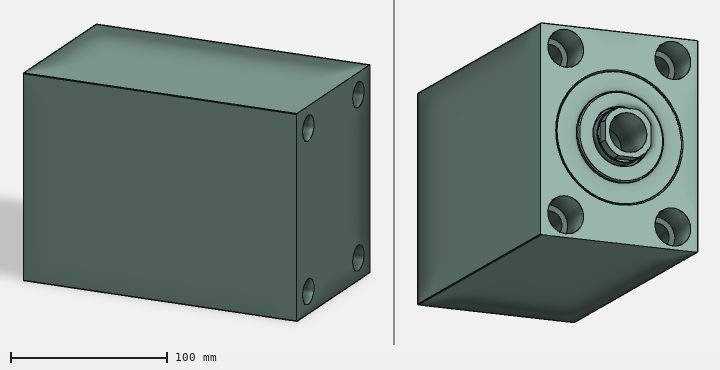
import cadquery as cq
import math

overall_length = 207.0
housing_length = 193.0
housing_width = 110.0
housing_height = 140.0
edge_chamfer = 0.5

bolt_span_y = 75.0
bolt_span_z = 110.0
bolt_diameter = 17.0
counterbore_diameter = 25.0
counterbore_depth = 25.0

gland_diameter = 87.0
gland_depth = 40.0
bore_lip_chamfer = 1.0
collar_diameter = 60.0
collar_length = 3.0
collar_chamfer = 1.0
collar_face = -collar_length
wiper_recess_diameter = 39.5
wiper_recess_depth = 5.0

rod_diameter = 36.0
rod_shoulder = -6.0
rod_shoulder_chamfer = 0.5
rod_tip = housing_length - overall_length
head_diameter = 34.6
head_flat_width = 32.0
end_hole_diameter = 26.0
end_hole_depth = 40.0
drill_point_angle = 118.0


def cylinder(diameter, x_start, x_end):
    """Solid cylinder along the X axis between two stations."""
    return cq.Workplane("YZ", origin=(x_start, 0, 0)).circle(diameter / 2).extrude(x_end - x_start)


def make_bolt_hole():
    """Counterbored through hole on the X axis, as a cutting body."""
    shank = cylinder(bolt_diameter, 0, housing_length)
    return shank.union(cylinder(counterbore_diameter, 0, counterbore_depth))


def make_bore():
    """Gland bore with a chamfered mouth, as a cutting body."""
    mouth_radius = gland_diameter / 2 + bore_lip_chamfer
    return (
        cq.Workplane("XY")
        .lineTo(0, mouth_radius)
        .lineTo(bore_lip_chamfer, gland_diameter / 2)
        .lineTo(gland_depth, gland_diameter / 2)
        .lineTo(gland_depth, 0)
        .close()
        .revolve(360, (0, 0, 0), (1, 0, 0))
    )


def make_housing():
    block = cq.Workplane("XY").box(
        housing_length, housing_width, housing_height, centered=(False, True, True)
    )
    block = block.edges("|X").chamfer(edge_chamfer)
    block = block.cut(make_bore())
    bolt_hole = make_bolt_hole()
    for y in (-bolt_span_y / 2, bolt_span_y / 2):
        for z in (-bolt_span_z / 2, bolt_span_z / 2):
            block = block.cut(bolt_hole.translate((0, y, z)))
    return block


def make_gland():
    collar = cylinder(collar_diameter, collar_face, 0)
    collar = collar.faces("<X").edges().chamfer(collar_chamfer)
    gland = cylinder(gland_diameter, 0, gland_depth).union(collar)
    gland = gland.cut(cylinder(rod_diameter, collar_face, gland_depth))
    return gland.cut(cylinder(wiper_recess_diameter, collar_face, collar_face + wiper_recess_depth))


def make_end_hole():
    """Blind hole with a conical drill point in the rod tip, as a cutting body."""
    radius = end_hole_diameter / 2
    bottom = rod_tip + end_hole_depth
    point_length = radius / math.tan(math.radians(drill_point_angle / 2))
    return (
        cq.Workplane("XY")
        .moveTo(rod_tip, 0)
        .lineTo(rod_tip, radius)
        .lineTo(bottom, radius)
        .lineTo(bottom + point_length, 0)
        .close()
        .revolve(360, (0, 0, 0), (1, 0, 0))
    )


def make_rod():
    shaft = cylinder(rod_diameter, rod_shoulder, gland_depth)
    shaft = shaft.faces("<X").edges().chamfer(rod_shoulder_chamfer)
    flats = (
        cq.Workplane("YZ", origin=(rod_tip, 0, 0))
        .rect(head_flat_width, head_flat_width)
        .extrude(rod_shoulder - rod_tip)
    )
    head = cylinder(head_diameter, rod_tip, rod_shoulder).intersect(flats)
    return shaft.union(head).cut(make_end_hole())


housing = make_housing().solids()
gland = make_gland().solids()
rod = make_rod().solids()
result = cq.Compound.makeCompound([housing.val(), gland.val(), rod.val()])